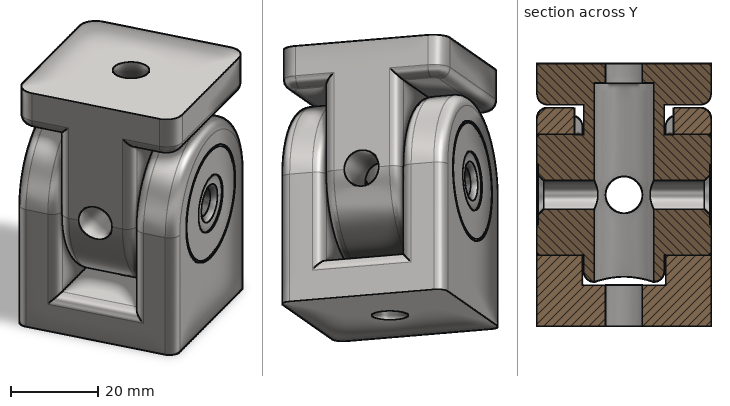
import cadquery as cq
import math

width = 40.0
height = 60.2
half = width / 2
pivot_z = height / 2
base_thickness = 9.5
plate_z = height - base_thickness
edge_radius = 2.5
plate_corner_radius = 4.0

tongue_width = 18.55
side_gap = 0.2
slot_width = tongue_width + 2 * side_gap

groove_width = 16.6
groove_depth = 1.85

pivot_radius = 13.85
pivot_chamfer = 0.5

bolt_radius = 8.35 / 2
counterbore_radius = 6.8
bolt_seat_thickness = 4.5

axle_radius = 3.25
countersink_radius = 4.5
countersink_depth = countersink_radius - axle_radius
recess_radius = counterbore_radius
recess_depth = 0.3


def round_ended_block(width_x, flat_end_z):
    """Block from a flat end to the hinge axis, closed there by a half round about the axis."""
    round_end_z = pivot_z + math.copysign(half, pivot_z - flat_end_z)
    outline = (
        cq.Workplane("YZ")
        .moveTo(-half, flat_end_z)
        .lineTo(-half, pivot_z)
        .threePointArc((0, round_end_z), (half, pivot_z))
        .lineTo(half, flat_end_z)
        .close()
    )
    return outline.extrude(width_x / 2, both=True)


def box_above(bottom_z, size_x, size_y):
    """Box centred on the Z axis, from the given height to the top of the hinge."""
    base = cq.Workplane("XY", origin=(0, 0, bottom_z)).rect(size_x, size_y)
    return base.extrude(height - bottom_z)


def vertical_cylinder(radius, top_z):
    return cq.Workplane("XY").circle(radius).extrude(top_z)


def pivot_cylinder():
    """Cylinder on the hinge axis, reaching through both cheeks."""
    return cq.Workplane("YZ", origin=(0, 0, pivot_z)).circle(pivot_radius).extrude(half, both=True)


def cross_bolt_hole():
    """Bolt hole along Y, crossing the hinge axis."""
    return cq.Workplane("XZ", origin=(0, 0, pivot_z)).circle(bolt_radius).extrude(half, both=True)


def axle_hole():
    """Hole along the hinge axis, with a countersink and a recess at both ends."""
    recess_x = half - recess_depth
    bore_x = recess_x - countersink_depth
    right_side = [
        (bore_x, axle_radius),
        (recess_x, countersink_radius),
        (recess_x, recess_radius),
        (half, recess_radius),
        (half, 0),
    ]
    left_side = [(-x, radius) for x, radius in reversed(right_side)]
    profile = cq.Workplane("XZ", origin=(0, 0, pivot_z)).polyline(left_side + right_side).close()
    return profile.revolve(360, (0, 0, 0), (1, 0, 0))


def make_fork():
    """Lower body: a floor and two round-topped cheeks."""
    slot = box_above(base_thickness, slot_width, width)
    body = round_ended_block(width, 0).cut(slot)

    slot_floor = body.faces(cq.NearestToPointSelector((0, 0, base_thickness)))
    body = body.edges("|Z or %CIRCLE").add(slot_floor.edges("|X")).fillet(edge_radius)

    grooves = box_above(pivot_z, slot_width + 2 * groove_depth, groove_width)
    return body.cut(grooves).cut(pivot_cylinder()).cut(vertical_cylinder(bolt_radius, height))


def make_tongue():
    """Upper body: a square plate, the tongue below it and the pivots on the tongue's sides."""
    plate = box_above(plate_z, width, width).edges("|Z").fillet(plate_corner_radius)
    body = plate.union(round_ended_block(tongue_width, plate_z))

    margin = 0.6
    below_plate = cq.selectors.BoxSelector((-width, -width, 0), (width, width, plate_z - margin))
    underside = cq.selectors.BoxSelector(
        (-width, -width, plate_z - margin), (width, width, plate_z + margin)
    )
    tongue_edges = body.edges(below_plate).edges("|Z or %CIRCLE")
    underside_rim = body.edges(underside).edges("|X or %CIRCLE or <X or >X")
    body = tongue_edges.add(underside_rim).fillet(edge_radius)

    body = body.union(pivot_cylinder().faces("<X or >X").chamfer(pivot_chamfer))
    counterbore = vertical_cylinder(counterbore_radius, height - bolt_seat_thickness)
    body = body.cut(vertical_cylinder(bolt_radius, height)).cut(counterbore)
    return body.cut(cross_bolt_hole()).cut(axle_hole())


fork = make_fork()
tongue = make_tongue()
result = cq.Compound.makeCompound([fork.solids().val(), tongue.solids().val()])